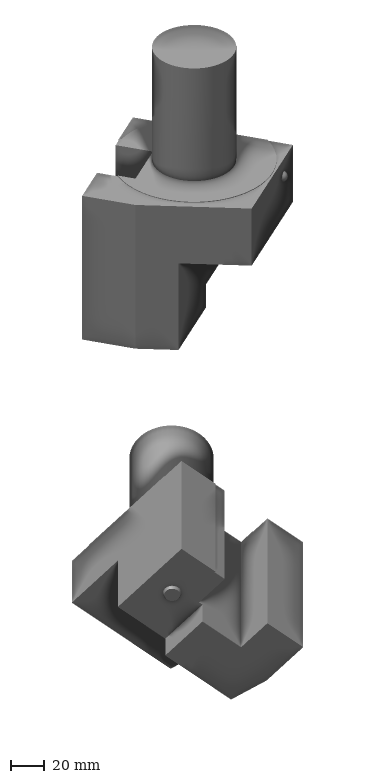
import cadquery as cq
import math

overall_height = 178
block_length = 100.0
block_width = 95.0
block_height = 100.0

shank_diameter = 50.0
shank_length = overall_height - block_height
shank_x = block_length / 2
shank_y = -35.0
collar_radius = 49.0
collar_height = 0.5

front_flat_length = 33.3
front_slope_degrees = 15

leg_length = 58.0
head_height = 40.0
rear_leg_height = 84.0
rear_leg_width = 37.0

slot_depth = 24.0
slot_rear_y = -34.4
slot_front_y = -67.1
relief_depth = 0.7
relief_rear_y = -26.5

nub_base_radius = 3.4
nub_height = 2.5
nub_ball_radius = (nub_base_radius**2 + nub_height**2) / (2 * nub_height)
cap_mid_angle = math.asin(nub_base_radius / nub_ball_radius) / 2
nub_root = 1.8
nub_y = -17.5
nub_z = -12.5

button_x = leg_length / 2
button_y = -17.6
button_base_diameter = 11.0
button_tip_diameter = 9.3
button_height = 1.8


def box(x_start, x_end, y_start, y_end, z_start, z_end):
    """Box between opposite corners."""
    size = (x_end - x_start, y_end - y_start, z_end - z_start)
    return cq.Workplane("XY").box(*size, centered=False).translate((x_start, y_start, z_start))


def make_envelope():
    """Plan outline with the sloping front corner, at full height."""
    slope_rise = (block_length - front_flat_length) * math.tan(math.radians(front_slope_degrees))
    outline = [
        (0, 0),
        (block_length, 0),
        (block_length, slope_rise - block_width),
        (front_flat_length, -block_width),
        (0, -block_width),
    ]
    return cq.Workplane("XY").workplane(offset=-block_height).polyline(outline).close().extrude(block_height)


def make_raised_area():
    """Round collar, plus the strip joining it to the relieved edge of the slot."""
    collar = (
        cq.Workplane("XY")
        .workplane(offset=-collar_height)
        .center(shank_x, shank_y)
        .circle(collar_radius)
        .extrude(collar_height)
    )
    strip = box(0, slot_depth, slot_rear_y, relief_rear_y, -collar_height, 0)
    return collar.union(strip)


def make_body():
    """Block with its collar, stepped underside and slot."""
    envelope = make_envelope()
    top_layer = box(0, block_length, -block_width, 0, -collar_height, 0)
    body = envelope.cut(top_layer.cut(make_raised_area()))

    body = body.cut(box(leg_length, block_length, -block_width, 0, -block_height, -head_height))
    body = body.cut(box(0, leg_length, -rear_leg_width, 0, -block_height, -rear_leg_height))

    body = body.cut(box(0, slot_depth, slot_front_y, slot_rear_y, -block_height, 0))
    return body.cut(box(0, relief_depth, slot_rear_y, relief_rear_y, -block_height, 0))


def make_shank():
    return (
        cq.Workplane("XY")
        .workplane(offset=-collar_height)
        .center(shank_x, shank_y)
        .circle(shank_diameter / 2)
        .extrude(shank_length + collar_height)
    )


def make_nub():
    """Spherical cap standing on the end face, with a root sunk into the block."""
    cap_profile = (
        cq.Workplane("XY")
        .moveTo(-nub_root, 0)
        .lineTo(nub_height, 0)
        .threePointArc(
            (nub_ball_radius * math.cos(cap_mid_angle) + nub_height - nub_ball_radius,
             nub_ball_radius * math.sin(cap_mid_angle)),
            (0, nub_base_radius),
        )
        .lineTo(-nub_root, nub_base_radius)
        .close()
    )
    cap = cap_profile.revolve(360, (0, 0), (1, 0))
    return cap.translate((block_length, nub_y, nub_z))


def make_button():
    cone = cq.Solid.makeCone(
        button_base_diameter / 2,
        button_tip_diameter / 2,
        button_height,
        pnt=cq.Vector(button_x, button_y, -rear_leg_height),
        dir=cq.Vector(0, 0, -1),
    )
    return cq.Workplane(cone)


result = make_body().union(make_shank()).union(make_nub()).union(make_button())